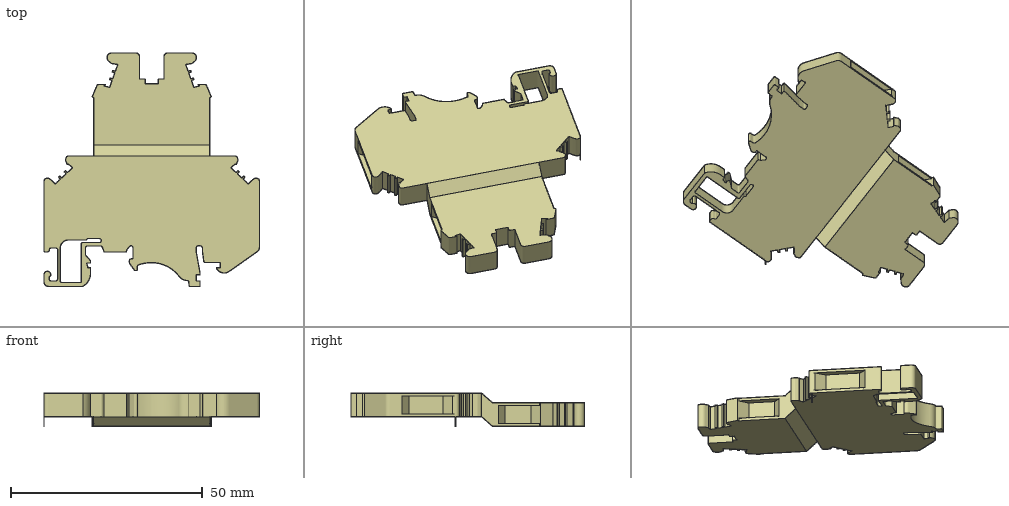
import cadquery as cq
import math

BODY_WIDTH = 56.3
BODY_HALF = BODY_WIDTH / 2
TOTAL_HEIGHT = 61.0
THICKNESS = 6.2
DECK_OFFSET = 2.5
OVERLAP = 0.2

FOOT_TOP = 13.0
LOWER_DECK_TOP = 34.1
UPPER_DECK_BOTTOM = 36.95
NECK_HALF = 15.15

UPPER_FACE = ((8.9, 57.95), (11.0, 52.05))
LOWER_FACE = ((20.7, 31.0), (25.2, 26.8))
NUB_WIDTH = 0.5
NUB_HEIGHT = 0.7
NUBS_PER_FACE = 2

POCKET_WALL = 0.75
POCKET_DEPTH = 2.35
UPPER_POCKET = [(38.5, 0), (40.2, POCKET_DEPTH), (47.0, POCKET_DEPTH), (49.2, 0)]
LOWER_POCKET = [(13.3, 0), (15.1, POCKET_DEPTH), (24.1, POCKET_DEPTH), (26.5, 0.05), (26.85, 0)]

FIN_THICKNESS = 0.05
FIN_LENGTH = 0.3
FIN_START = 27.15

UPPER_HALF_OUTLINE = [
    (0, 52.95), (1.66, 52.95), (1.66, 54.2, 0.3), (3.17, 54.2),
    (3.17, TOTAL_HEIGHT, 1.0), (11.68, TOTAL_HEIGHT, 1.2), (11.68, 59.2, 1.2), (10.55, 58.2),
    *UPPER_FACE,
    (12.5, 52.4), (12.06, 52.75), (14.2, 52.75, 0.4), (15.58, 49.55),
    (NECK_HALF, 49.2), (NECK_HALF, UPPER_DECK_BOTTOM), (0, UPPER_DECK_BOTTOM),
]

LOWER_HALF_OUTLINE = [
    (0, LOWER_DECK_TOP), (22.2, LOWER_DECK_TOP, 0.6), (22.6, 33.0, 0.6), (22.05, 31.8), (21.75, 31.95),
    *LOWER_FACE,
    (26.05, 27.65), (26.9, 28.3, 0.8), (BODY_HALF, 28.3, 0.8),
    (BODY_HALF, FOOT_TOP), (0, FOOT_TOP),
]

FOOT_OUTLINE = [
    (-BODY_HALF, FOOT_TOP), (-BODY_HALF, 9.0, 0.3), (-26.85, 9.0, 0.6),
    (-26.6, 10.0, 0.3), (-24.6, 10.0, 0.4), (-24.6, 1.45, 0.5), (-26.75, 1.45, 0.5),
    (-26.75, 2.5), (-26.35, 2.85, 0.1), (-26.35, 4.0, 0.9),
    (-BODY_HALF, 4.0, 0.85), (-BODY_HALF, 0, 1.2),
    (-18.0, 0), (-15.93, 1.2, 4.1),
    (-15.93, 4.95), (-16.65, 4.95), (-16.95, 6.1), (-15.93, 6.1),
    (-15.93, 6.7), (-17.25, 8.2), (-17.25, 10.55, 0.4), (-13.05, 10.55, 0.5),
    (-12.45, 9.0), (-6.65, 9.0), (-6.45, 9.65), (-5.65, 10.6, 0.4), (-4.92, 10.6, 0.45),
    (-4.92, 7.25), (-5.88, 7.25, 0.6), (-5.88, 6.1, 1.0),
    (-4.45, 4.15, 0.4), (-3.74, 4.15, 0.3), (-3.74, 5.55, 0.6),
    (-1.55, 6.2, 10.0), (4.4, 6.2, 9.0), (7.9, 1.65, 2.7),
    (9.6, 1.5, 0.2), (9.75, 0, 0.25), (12.63, 0, 0.15),
    (12.63, 1.48), (11.67, 1.48), (11.67, 3.06), (12.63, 3.06), (12.63, 3.6),
    (11.67, 8.9), (11.67, 10.58, 0.4), (13.22, 10.58, 0.6), (13.22, 9.0),
    (13.6, 6.25, 0.35), (17.82, 6.25), (17.82, 4.95), (16.88, 4.95),
    (16.88, 4.6), (18.0, 3.5, 2.25), (19.65, 3.5, 2.25),
    (BODY_HALF, 9.5, 1.5), (BODY_HALF, FOOT_TOP),
]

WINDOW_OUTLINE = [
    (-23.85, 1.1, 0.2), (-23.85, 12.09, 2.0), (-17.1, 12.09), (-16.8, 12.48), (-13.2, 12.48, 0.45),
    (-13.2, 11.51, 0.45), (-18.44, 11.51, 0.4), (-18.44, 1.1),
]


def rounded_outline(corners, base_z):
    """Closed outline on the plane Z = base_z; corners carrying a radius become tangent arcs."""
    spans = []
    for index, corner in enumerate(corners):
        point = cq.Vector(corner[0], corner[1])
        if len(corner) == 2:
            spans.append((point,))
            continue
        radius = corner[2]
        before = corners[index - 1]
        after = corners[(index + 1) % len(corners)]
        to_before = (cq.Vector(before[0], before[1]) - point).normalized()
        to_after = (cq.Vector(after[0], after[1]) - point).normalized()
        half_angle = to_before.getAngle(to_after) / 2
        tangent_length = radius / math.tan(half_angle)
        bisector = (to_before + to_after).normalized()
        mid_distance = radius / math.sin(half_angle) - radius
        spans.append((
            point + to_before * tangent_length,
            point + bisector * mid_distance,
            point + to_after * tangent_length,
        ))

    path = cq.Workplane("XY", origin=(0, 0, base_z)).moveTo(spans[0][0].x, spans[0][0].y)
    for index, span in enumerate(spans):
        if index > 0:
            path = path.lineTo(span[0].x, span[0].y)
        if len(span) > 1:
            path = path.threePointArc((span[1].x, span[1].y), (span[2].x, span[2].y))
    return path.close()


def plate(corners, base_z):
    return rounded_outline(corners, base_z).extrude(THICKNESS)


def nubs(face, base_z):
    """Small square ribs standing on a notch face and dividing it into equal parts."""
    start = cq.Vector(*face[0])
    end = cq.Vector(*face[1])
    along = (end - start).normalized()
    outward = cq.Vector(-along.y, along.x)
    ribs = cq.Workplane("XY")
    for number in range(1, NUBS_PER_FACE + 1):
        foot = start + (end - start) * (number / (NUBS_PER_FACE + 1))
        near = foot - outward * OVERLAP
        far = foot + outward * NUB_HEIGHT
        side = along * (NUB_WIDTH / 2)
        corners = [(p.x, p.y) for p in (near - side, near + side, far + side, far - side)]
        ribs = ribs.add(plate(corners, base_z))
    return ribs.combine()


def pocket(outer_x, profile, base_z):
    """Pocket cut in from the left side, with sloped end walls."""
    corners = [(outer_x + depth, y) for y, depth in profile]
    section = cq.Workplane("XY", origin=(0, 0, base_z + POCKET_WALL)).polyline(corners).close()
    return section.extrude(THICKNESS - 2 * POCKET_WALL)


def both_sides(half):
    return half.union(half.mirror("YZ"))


def deck(half_outline, face, outer_x, pocket_profile, base_z):
    half = plate(half_outline, base_z).union(nubs(face, base_z))
    pockets = both_sides(pocket(outer_x, pocket_profile, base_z))
    return both_sides(half).cut(pockets)


def neck():
    """Sloped web that steps from the upper deck to the lower deck."""
    section = [
        (UPPER_DECK_BOTTOM, 0),
        (LOWER_DECK_TOP, DECK_OFFSET),
        (LOWER_DECK_TOP - OVERLAP, DECK_OFFSET),
        (LOWER_DECK_TOP - OVERLAP, DECK_OFFSET + THICKNESS),
        (LOWER_DECK_TOP, DECK_OFFSET + THICKNESS),
        (UPPER_DECK_BOTTOM, THICKNESS),
    ]
    return cq.Workplane("YZ").polyline(section).close().extrude(NECK_HALF, both=True)


def foot():
    return plate(FOOT_OUTLINE, DECK_OFFSET).cut(plate(WINDOW_OUTLINE, DECK_OFFSET))


def fin():
    corner = (-BODY_HALF, FIN_START, 0)
    height = DECK_OFFSET + OVERLAP
    return cq.Workplane("XY", origin=corner).box(FIN_THICKNESS, FIN_LENGTH, height, centered=False)


upper_deck = deck(UPPER_HALF_OUTLINE, UPPER_FACE, -NECK_HALF, UPPER_POCKET, 0)
lower_deck = deck(LOWER_HALF_OUTLINE, LOWER_FACE, -BODY_HALF, LOWER_POCKET, DECK_OFFSET)

result = lower_deck.union(foot()).union(neck()).union(upper_deck).union(fin()).clean()